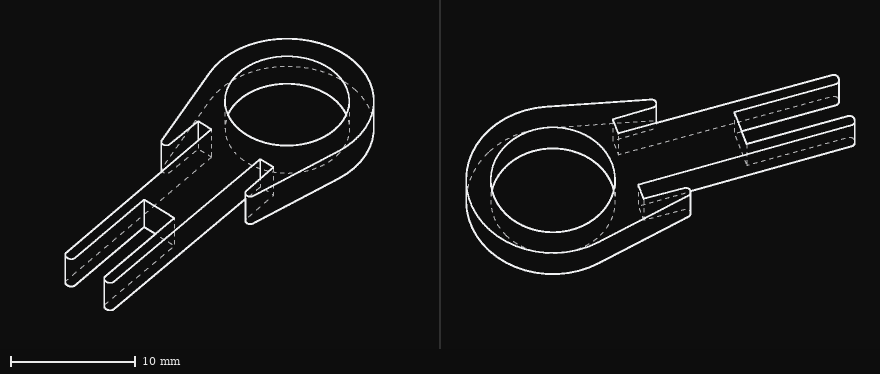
import cadquery as cq
import math

length = 31.82
thickness = 3.18
ring_diameter = 13.97
bore_diameter = 10.0

tangent_drop = 1.62
leg_tip_drop = 10.18
leg_root_drop = 6.35
leg_inner_root = 3.98
leg_inner_tip = 4.05

stem_root_half_width = 2.58
stem_tip_half_width = 2.5
fork_slot_width = 3.18
fork_slot_depth = 8.97
prong_tip_radius = 0.4

ring_radius = ring_diameter / 2
stem_tip_y = ring_radius - length
flank_angle = math.asin(tangent_drop / ring_radius)
tangent_x = ring_radius * math.cos(flank_angle)
leg_outer_tip = tangent_x - (leg_tip_drop - tangent_drop) * math.tan(flank_angle)
leg_inner_angle = math.atan((leg_inner_tip - leg_inner_root) / (leg_tip_drop - leg_root_drop))

outer_setback_ratio = math.tan(math.pi / 4 - flank_angle / 2)
inner_setback_ratio = math.tan(math.pi / 4 - leg_inner_angle / 2)
leg_tip_radius = (leg_outer_tip - leg_inner_tip) / (outer_setback_ratio + inner_setback_ratio)
leg_tip_x = leg_inner_tip + leg_tip_radius * inner_setback_ratio
leg_round_y = leg_tip_radius - leg_tip_drop
leg_round_outer = (
    leg_tip_x + leg_tip_radius * math.cos(flank_angle),
    leg_round_y - leg_tip_radius * math.sin(flank_angle),
)
leg_round_inner = (
    leg_tip_x - leg_tip_radius * math.cos(leg_inner_angle),
    leg_round_y - leg_tip_radius * math.sin(leg_inner_angle),
)

slot_half_width = fork_slot_width / 2
slot_end_y = stem_tip_y + fork_slot_depth


def mirrored(point):
    """The matching point on the left half of the part."""
    x, y = point
    return (-x, y)


def make_body():
    """Plate outline: ring, tangent flanks, two legs and the forked stem."""
    stem_right = [
        (leg_inner_root, -leg_root_drop),
        (stem_root_half_width, -leg_root_drop),
        (stem_tip_half_width, stem_tip_y),
        (slot_half_width, stem_tip_y),
        (slot_half_width, slot_end_y),
    ]
    stem_left = [mirrored(point) for point in reversed(stem_right)]
    leg_tip = (leg_tip_x, -leg_tip_drop)

    outline = cq.Workplane("XY").moveTo(-tangent_x, -tangent_drop)
    outline = outline.threePointArc((0, ring_radius), (tangent_x, -tangent_drop))
    outline = outline.lineTo(*leg_round_outer).threePointArc(leg_tip, leg_round_inner)
    for point in stem_right + stem_left:
        outline = outline.lineTo(*point)
    outline = outline.lineTo(*mirrored(leg_round_inner))
    outline = outline.threePointArc(mirrored(leg_tip), mirrored(leg_round_outer))
    return outline.close().extrude(thickness)


def round_prong_tips(body):
    """Round the four upright edges at the ends of the fork prongs."""
    return body.faces("<Y").edges("|Z").fillet(prong_tip_radius)


body = round_prong_tips(make_body())
bore = cq.Workplane("XY").circle(bore_diameter / 2).extrude(thickness)
result = body.cut(bore)